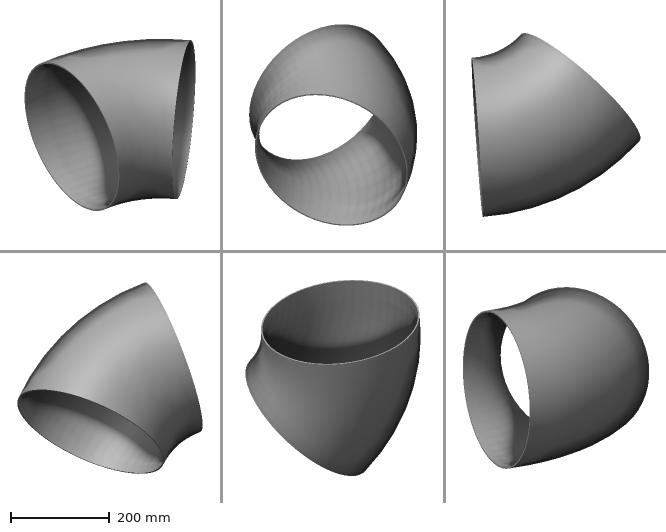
import cadquery as cq
import math

overall_length = 365.8
bend_radius = 305.0
bend_angle = 45.0
wall = 3.0

bend_cosine = math.cos(math.radians(bend_angle))
outer_radius = (overall_length - bend_radius * (1 - bend_cosine)) / (1 + bend_cosine)
inner_radius = outer_radius - wall

bend_axis_start = (bend_radius, 0)
bend_axis_end = (bend_radius, -1)

result = (
    cq.Workplane("XZ")
    .circle(outer_radius)
    .circle(inner_radius)
    .revolve(bend_angle, bend_axis_start, bend_axis_end)
)